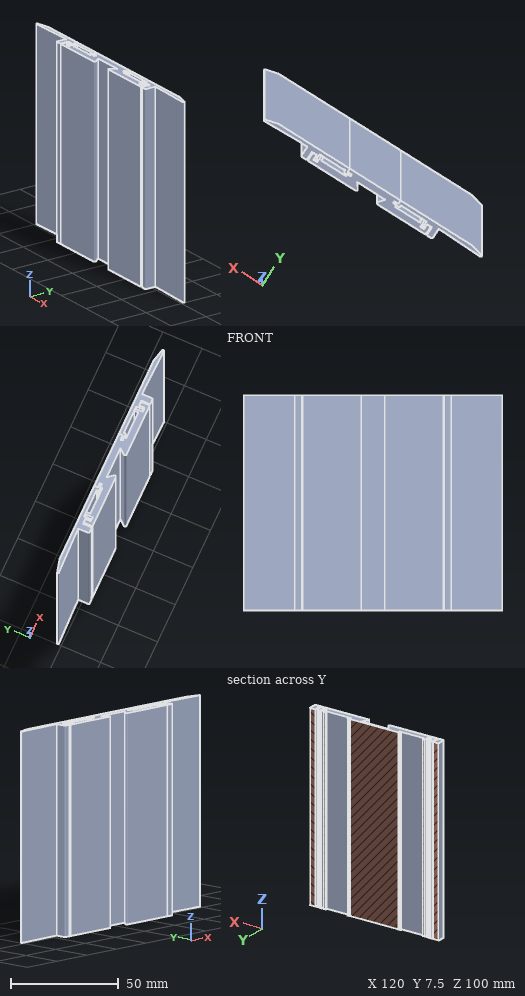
import cadquery as cq
import math


width = 120.0
depth = 7.5
length = 100.0
half_width = width / 2

plate_front = -1.9
saddle_front = -2.9

bevel_run = 6.6
tip_back = -1.7
tip_front = -2.5
tip_radius = 0.4
wing_taper_x = -40.0

flange_outer_x = -36.2
flange_inner_x = -33.1
flange_radius = 0.6
prong_outer_x = -30.5
prong_inner_x = -29.5
prong_front = -5.2

seam_x = -14.0
tongue_length = 2.0
tongue_tip_taper = 0.4
barb_outer_x = -15.5
barb_inner_x = -14.6
barb_front = -3.1
barb_chamfer = 0.5

post_outer_x = -32.5
post_chamfer = 0.6
slot_inner_x = -28.5
slot_floor = -5.6
rib_inner_x = -27.2
rib_chamfer = 0.4
pocket_inner_x = -13.6
pocket_floor = -4.0
groove_end_x = -11.8

channel_floor = -3.6
channel_floor_half = 7.8
channel_angle = 40.0
channel_lip_radius = 0.7
channel_mouth_half = channel_floor_half - (depth + channel_floor) * math.tan(math.radians(channel_angle))


def extrude_section(points):
    """Solid of the full length from a closed outline in XY, centred on z = 0."""
    return cq.Workplane("XY").polyline(points).close().extrude(length / 2, both=True)


def round_long_edge(body, x, y, radius):
    """Fillet the edge that runs along Z through the corner (x, y)."""
    return body.edges(cq.selectors.NearestToPointSelector((x, y, 0))).fillet(radius)


def make_left_plate():
    tongue_tip_x = seam_x + tongue_length
    outline = [
        (-half_width, tip_back),
        (-half_width + bevel_run, 0),
        (seam_x, 0),
        (seam_x, plate_front),
        (tongue_tip_x - tongue_tip_taper, plate_front),
        (tongue_tip_x, plate_front - tongue_tip_taper),
        (tongue_tip_x - tongue_tip_taper, saddle_front),
        (pocket_inner_x, saddle_front),
        (barb_inner_x, barb_front),
        (barb_outer_x + barb_chamfer, barb_front),
        (barb_outer_x, barb_front + barb_chamfer),
        (barb_outer_x, plate_front),
        (prong_inner_x, plate_front),
        (prong_inner_x, prong_front),
        (prong_outer_x, prong_front),
        (prong_outer_x, saddle_front),
        (flange_inner_x, saddle_front),
        (flange_inner_x, -depth),
        (flange_outer_x, -depth),
        (flange_outer_x, plate_front),
        (wing_taper_x, plate_front),
        (-half_width, tip_front),
    ]
    plate = extrude_section(outline)
    plate = round_long_edge(plate, -half_width, tip_front, tip_radius)
    plate = round_long_edge(plate, flange_outer_x, -depth, flange_radius)
    return round_long_edge(plate, flange_inner_x, -depth, flange_radius)


def make_centre_piece():
    left_side = [
        (seam_x, 0),
        (seam_x, plate_front),
        (groove_end_x, plate_front),
        (groove_end_x, saddle_front),
        (pocket_inner_x, saddle_front),
        (pocket_inner_x, pocket_floor),
        (rib_inner_x, pocket_floor),
        (rib_inner_x, plate_front),
        (slot_inner_x + rib_chamfer, plate_front),
        (slot_inner_x, plate_front - rib_chamfer),
        (slot_inner_x, slot_floor),
        (prong_outer_x, slot_floor),
        (prong_outer_x, saddle_front - post_chamfer),
        (prong_outer_x - post_chamfer, saddle_front),
        (post_outer_x + post_chamfer, saddle_front),
        (post_outer_x, saddle_front - post_chamfer),
        (post_outer_x, -depth),
        (-channel_mouth_half, -depth),
        (-channel_floor_half, channel_floor),
    ]
    right_side = [(-x, y) for x, y in reversed(left_side)]
    body = extrude_section(left_side + right_side)
    for side in (-1, 1):
        body = round_long_edge(body, side * channel_mouth_half, -depth, channel_lip_radius)
    return body


left_plate = make_left_plate()
right_plate = left_plate.mirror("YZ")
centre_piece = make_centre_piece()

result = cq.Compound.makeCompound([left_plate.val(), right_plate.val(), centre_piece.val()])